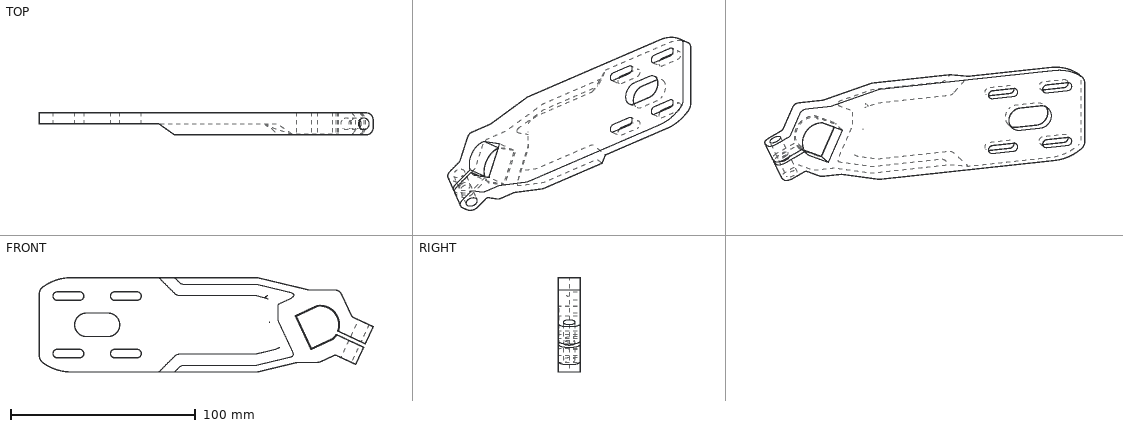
import cadquery as cq
import math

length = 180.85
width = 51.2
thickness = 12.0
pocket_depth = 6.0
half_width = width / 2
end_corner_radius = 5.0
end_arc_x = 17.3

square_angle = 25.0
clamp_angle = -25.0
clamp_half_width = 11.3
clamp_reach = 26.6
upper_flat = 18.9
lower_flat = 20.4
right_flank = 17.6
lower_flank = 18.3
bevel_angle = 76.5
bevel_start = -33.9
shoulder_radius = 5.0
head_corner_radius = 4.0
jaw_root_radius = 2.0
jaw_tip_radius = 4.2

clamp_tilt = math.radians(abs(clamp_angle))
head_x = length - clamp_reach * math.cos(clamp_tilt) - clamp_half_width * math.sin(clamp_tilt)

bore_size = 19.2
bore_radius = 10.1
bore_chamfer = 0.5
slit_width = 2.0
screw_diameter = 6.3
screw_reach = 20.9

rim_width = 3.7
pocket_mouth_x = 64.7
mouth_angle = 45.0
boss_side = 19.6
boss_flat = 22.8
floor_fillet = 5.0
wall_corner_fillet = 5.0
boss_corner_fillet = 2.0
valley_fillet = 2.6

slot_centre_x = 31.4
slot_pitch = 31.1
small_slot_length = 16.6
small_slot_width = 4.5
large_slot_length = 24.3
large_slot_width = 12.6

clearance = 30.0


def front_plane():
    """Sketch plane on the front face; negative extrusion goes into the part."""
    return cq.Workplane("XZ")


def meet(first, second):
    """Crossing point of two edges, each (normal angle, distance from head centre)."""
    angle_1, distance_1 = math.radians(first[0]), first[1]
    angle_2, distance_2 = math.radians(second[0]), second[1]
    turn = math.sin(angle_2 - angle_1)
    x = (distance_1 * math.sin(angle_2) - distance_2 * math.sin(angle_1)) / turn
    z = (distance_2 * math.cos(angle_1) - distance_1 * math.cos(angle_2)) / turn
    return (head_x + x, z)


def corners(edges):
    """Corner points of the closed outline formed by consecutive edges."""
    return [meet(edges[i - 1], edges[i]) for i in range(len(edges))]


def edge_through(angle, x, z):
    """Edge with the given normal angle through a point relative to the head centre."""
    return (angle, x * math.cos(math.radians(angle)) + z * math.sin(math.radians(angle)))


def shifted(edge, growth):
    """Edge moved outwards by growth."""
    return (edge[0], edge[1] + growth)


def mirrored(edge):
    """Edge mirrored from the +Z side to the -Z side."""
    return (-edge[0], edge[1])


def midpoint(first, second):
    return ((first[0] + second[0]) / 2, (first[1] + second[1]) / 2)


def at_depth(point, y):
    """Outline point placed at a depth behind the front face."""
    return (point[0], y, point[1])


def fillet_edges(body, points, radius):
    """Fillet the edges whose centres lie nearest to the given points."""
    picked = [body.edges(cq.NearestToPointSelector(point)).val() for point in points]
    return body.newObject(picked).fillet(radius)


def make_blank():
    """Full-thickness plate with the tapered head and the clamp jaws."""
    edges = [
        (180, head_x),
        (90, half_width),
        edge_through(bevel_angle, bevel_start, half_width),
        (90, upper_flat),
        (square_angle, right_flank),
        (clamp_angle + 90, clamp_half_width),
        (clamp_angle, clamp_reach),
        (clamp_angle - 90, clamp_half_width),
        (square_angle - 90, lower_flank),
        (-90, lower_flat),
        edge_through(-bevel_angle, bevel_start, -half_width),
        (-90, half_width),
    ]
    points = corners(edges)
    blank = front_plane().polyline(points).close().extrude(-thickness)
    rounding = {
        2: shoulder_radius,
        3: shoulder_radius,
        4: head_corner_radius,
        5: jaw_root_radius,
        8: jaw_root_radius,
        9: shoulder_radius,
        10: shoulder_radius,
        11: shoulder_radius,
    }
    for index, radius in rounding.items():
        blank = fillet_edges(blank, [at_depth(points[index], thickness / 2)], radius)
    return blank


def round_plate_end(blank):
    """Shape the free end as a full-width arc cut off square at X = 0."""
    disc = front_plane().center(end_arc_x, 0).circle(half_width).extrude(-thickness)
    end = disc.intersect(cq.Workplane("XY").box(length, width, width, centered=(False, True, True)))
    end = end.edges("|Y and <X").fillet(end_corner_radius)
    rest = cq.Workplane("XY", origin=(end_arc_x, 0, 0))
    rest = rest.box(length, thickness, width, centered=(False, False, True))
    return blank.intersect(end.union(rest))


def frustum(edges, growth):
    """Body between the front face and the pocket floor; edges move out by growth."""
    floor_edges = [shifted(edge, growth) for edge in edges]
    return (
        front_plane()
        .polyline(corners(edges))
        .close()
        .workplane(offset=-pocket_depth)
        .polyline(corners(floor_edges))
        .close()
        .loft(ruled=True)
    )


def make_pocket():
    """Pocket with 45 degree walls, open at the slotted end, wrapped round the bore boss."""
    rim = half_width - rim_width
    rim_bevel = edge_through(bevel_angle, bevel_start, half_width)[1] - rim_width
    mouth = edge_through(mouth_angle, pocket_mouth_x - head_x, half_width)[1] + pocket_depth
    outside = half_width + clearance
    side = (90, rim)
    mouth_wall = (mouth_angle, mouth)
    bevel = (bevel_angle, rim_bevel)
    channel_edges = [
        (180, head_x + clearance),
        (90, outside),
        mouth_wall,
        side,
        bevel,
        (0, 0),
        mirrored(bevel),
        mirrored(side),
        mirrored(mouth_wall),
        (-90, outside),
    ]

    boss_upper = (square_angle + 90, boss_side)
    boss_nose = (180, boss_flat)
    boss_lower = (square_angle + 180, boss_side)
    boss_edges = [boss_upper, boss_nose, boss_lower, (-90, outside), (0, clearance)]

    channel = frustum(channel_edges, -pocket_depth)
    pocket = channel.cut(frustum(boss_edges, pocket_depth))

    half = pocket_depth / 2
    side_half = shifted(side, -half)
    bevel_half = shifted(bevel, -half)
    for x, z in (meet(shifted(mouth_wall, -half), side_half), meet(side_half, bevel_half)):
        for corner_z in (z, -z):
            pocket = fillet_edges(pocket, [(x, half, corner_z)], wall_corner_fillet)
    upper_half = shifted(boss_upper, half)
    nose_half = shifted(boss_nose, half)
    lower_half = shifted(boss_lower, half)
    nose_corners = [at_depth(meet(wall, nose_half), half) for wall in (upper_half, lower_half)]
    pocket = fillet_edges(pocket, nose_corners, boss_corner_fillet)

    bevel_foot = shifted(bevel, -pocket_depth)
    nose_foot = shifted(boss_nose, pocket_depth)
    lower_foot = shifted(boss_lower, pocket_depth)
    foot_top = meet(bevel_foot, nose_foot)
    foot_bend = meet(nose_foot, lower_foot)
    foot_bottom = meet(lower_foot, mirrored(bevel_foot))
    foot_centres = [midpoint(foot_top, foot_bend), midpoint(foot_bend, foot_bottom)]
    foot_picks = [at_depth(centre, pocket_depth) for centre in foot_centres]
    foot_rounded = fillet_edges(pocket, foot_picks, floor_fillet)

    valleys = [meet(bevel_half, upper_half), meet(mirrored(bevel_half), lower_half)]
    valleys_rounded = fillet_edges(pocket, [at_depth(valley, half) for valley in valleys], valley_fillet)

    return foot_rounded.intersect(valleys_rounded)


def slot(x, z, slot_length, slot_width):
    """Cutting body for a round-ended slot along X, through the plate."""
    return front_plane().center(x, z).slot2D(slot_length, slot_width).extrude(-thickness)


def cut_slots(body):
    """One large slot with four small ones in a square around it."""
    body = body.cut(slot(slot_centre_x, 0, large_slot_length, large_slot_width))
    for x_side in (-1, 1):
        for z_side in (-1, 1):
            x = slot_centre_x + x_side * slot_pitch / 2
            z = z_side * slot_pitch / 2
            body = body.cut(slot(x, z, small_slot_length, small_slot_width))
    return body


def head_frame(angle):
    """Front sketch plane centred on the head and turned by an angle."""
    tilt = math.radians(angle)
    along = (math.cos(tilt), 0, math.sin(tilt))
    return cq.Workplane(cq.Plane(origin=(head_x, 0, 0), xDir=along, normal=(0, -1, 0)))


def bore_outline(offset=0.0):
    """Square bore whose side towards the clamp is an arc about the head centre."""
    half = bore_size / 2 + offset
    radius = bore_radius + offset
    arc_start = math.sqrt(radius ** 2 - half ** 2)
    return (
        head_frame(square_angle)
        .moveTo(arc_start, half)
        .lineTo(-half, half)
        .lineTo(-half, -half)
        .lineTo(arc_start, -half)
        .threePointArc((radius, 0), (arc_start, half))
        .close()
    )


def cut_bore(body):
    """Through bore with a chamfered front edge."""
    chamfer = bore_outline(bore_chamfer).extrude(-bore_chamfer, taper=45)
    return body.cut(bore_outline().extrude(-thickness)).cut(chamfer)


def cut_clamp(body):
    """Round the jaw tips, split the jaws and drill the screw hole across them."""
    tilt = math.radians(clamp_angle)
    along_x, along_z = math.cos(tilt), math.sin(tilt)

    tip = (head_x + clamp_reach * along_x, clamp_reach * along_z)
    body = fillet_edges(body, [at_depth(tip, 0), at_depth(tip, thickness)], jaw_tip_radius)

    slit_length = clamp_reach + clearance
    slit = head_frame(clamp_angle).center(slit_length / 2, 0).rect(slit_length, slit_width)
    slit = slit.extrude(-thickness)

    screw_plane = cq.Plane(
        origin=(head_x + screw_reach * along_x, thickness / 2, screw_reach * along_z),
        xDir=(0, 1, 0),
        normal=(-along_z, 0, along_x),
    )
    screw_hole = cq.Workplane(screw_plane).circle(screw_diameter / 2).extrude(2 * clamp_half_width, both=True)
    return body.cut(slit).cut(screw_hole)


result = make_blank()
result = round_plate_end(result)
result = cut_clamp(result)
result = result.cut(make_pocket())
result = cut_slots(result)
result = cut_bore(result)